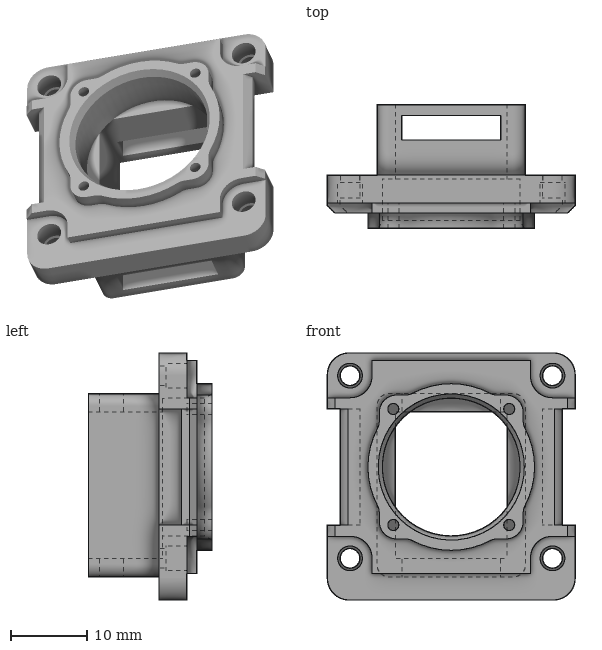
import cadquery as cq
import math


plate_width = 32.6
plate_top = 15.0
plate_bottom = -17.5
plate_height = plate_top - plate_bottom
plate_mid_z = (plate_top + plate_bottom) / 2
plate_thickness = 3.7
plate_corner_radius = 2.9

screw_x = 13.3
screw_z = 12.0
screw_wide_diameter = 3.25
screw_narrow_diameter = 2.55
screw_narrow_length = 0.95

pad_height = 1.3
pad_half_height = 14.0
pad_clearance_radius = 2.9
pad_edge_chamfer = 1.0

notch_height = 15.3
lip_half_width = 14.6
lip_thickness = 2.0
undercut_half_width = 12.0

ring_height = 2.0
ring_radius = 10.95
ear_half_width = 9.45
ear_corner_radius = 2.25
ear_blend_radius = 2.0
ear_hole_offset = 7.62
ear_hole_diameter = 1.45
ear_hole_depth = ring_height + pad_height

bore_radius = 9.05
bore_mouth_radius = 9.6
bore_mouth_depth = 1.0
bore_length = 6.5

housing_width = 19.5
housing_height = 24.1
housing_mid_z = -2.4
housing_length = 9.25
housing_wall = 2.4
housing_corner_radius = 1.6

slot_width = 13.0
slot_length = 3.2
slot_back_margin = 1.43

pad_front = -pad_height
ring_front = pad_front - ring_height
plate_back = plate_thickness
housing_back = plate_back + housing_length
bore_end = ring_front + bore_length
screw_step = plate_back - screw_narrow_length

SIDES = (-1, 1)


def corner_points(x, z):
    return [(side_x * x, side_z * z) for side_x in SIDES for side_z in SIDES]


def sketch_at(y):
    """XZ sketch plane at a given Y whose extrusions run towards +Y."""
    return cq.Workplane(cq.Plane(origin=(0, y, 0), xDir=(1, 0, 0), normal=(0, -1, 0)))


def block(x_min, x_max, y_min, y_max, z_min, z_max):
    size = (x_max - x_min, y_max - y_min, z_max - z_min)
    return cq.Workplane("XY").box(*size, centered=False).translate((x_min, y_min, z_min))


def prism(y_min, y_max, width, height, mid_z=0.0, corner_radius=0.0):
    """Rectangular bar along Y, with its long edges rounded if a radius is given."""
    bar = block(-width / 2, width / 2, y_min, y_max, mid_z - height / 2, mid_z + height / 2)
    if corner_radius > 0:
        bar = bar.edges("|Y").fillet(corner_radius)
    return bar


def holes(points, diameter, y_min, y_max):
    return sketch_at(y_min).pushPoints(points).circle(diameter / 2).extrude(y_min - y_max)


def make_plate():
    return prism(0, plate_back, plate_width, plate_height, plate_mid_z, plate_corner_radius)


def make_pad():
    pad = prism(pad_front, 0, plate_width, 2 * pad_half_height)
    pad = pad.faces("<Y").edges("|Z").chamfer(pad_edge_chamfer)
    clearance_size = plate_width / 2
    inner_x = screw_x - pad_clearance_radius
    inner_z = screw_z - pad_clearance_radius
    clearance = prism(pad_front, 0, clearance_size, clearance_size, 0, pad_clearance_radius)
    for side_x, side_z in corner_points(1, 1):
        shift_x = side_x * (inner_x + clearance_size / 2)
        shift_z = side_z * (inner_z + clearance_size / 2)
        pad = pad.cut(clearance.translate((shift_x, 0, shift_z)))
    return pad


def make_ring():
    blend_distance = ring_radius + ear_blend_radius
    blend_z = ear_half_width + ear_blend_radius
    blend_x = math.sqrt(blend_distance**2 - blend_z**2)
    touch_x = blend_x * ring_radius / blend_distance
    touch_z = blend_z * ring_radius / blend_distance
    flange = sketch_at(ring_front).circle(ring_radius).extrude(-ring_height)
    ears = prism(ring_front, pad_front, 2 * ear_half_width, 2 * ear_half_width, 0, ear_corner_radius)
    ring = flange.union(ears)
    outline = [
        (blend_x, ear_half_width),
        (touch_x, ear_half_width),
        (touch_x, touch_z),
        (blend_x, touch_z),
    ]
    web = sketch_at(ring_front).polyline(outline).close().extrude(-ring_height)
    web = web.cut(holes([(blend_x, blend_z)], 2 * ear_blend_radius, ring_front, pad_front))
    for quarter in range(4):
        turned = web.rotate((0, 0, 0), (0, 1, 0), 90 * quarter)
        ring = ring.union(turned).union(turned.mirror("YZ"))
    return ring


def make_housing():
    return prism(
        plate_back, housing_back,
        housing_width, housing_height, housing_mid_z, housing_corner_radius,
    )


def make_cavity():
    inner_width = housing_width - 2 * housing_wall
    inner_height = housing_height - 2 * housing_wall
    return prism(bore_end, housing_back, inner_width, inner_height, housing_mid_z)


def make_slot():
    slot_back = housing_back - slot_back_margin
    return block(
        -slot_width / 2, slot_width / 2,
        slot_back - slot_length, slot_back,
        housing_mid_z - housing_height / 2, housing_mid_z + housing_height / 2,
    )


def make_bore():
    profile = [
        (0, ring_front),
        (bore_mouth_radius, ring_front),
        (bore_radius, ring_front + bore_mouth_depth),
        (bore_radius, bore_end),
        (0, bore_end),
    ]
    return cq.Workplane("XY").polyline(profile).close().revolve(360, (0, 0), (0, 1))


def make_side_notch():
    """Notch on the +X side, seen in plan and extruded along Z."""
    outside = plate_width / 2
    lip_back = pad_front + lip_thickness
    profile = [
        (outside, pad_front),
        (lip_half_width - pad_edge_chamfer, pad_front),
        (lip_half_width, pad_front + pad_edge_chamfer),
        (lip_half_width, lip_back),
        (undercut_half_width, lip_back),
        (undercut_half_width, plate_back),
        (outside, plate_back),
    ]
    return cq.Workplane("XY").polyline(profile).close().extrude(notch_height / 2, both=True)


screw_points = corner_points(screw_x, screw_z)
ear_points = corner_points(ear_hole_offset, ear_hole_offset)
notch = make_side_notch()

body = make_plate().union(make_pad()).union(make_ring()).union(make_housing())
body = body.cut(make_bore()).cut(make_cavity()).cut(make_slot())
body = body.cut(notch).cut(notch.mirror("YZ"))
body = body.cut(holes(screw_points, screw_wide_diameter, 0, screw_step))
body = body.cut(holes(screw_points, screw_narrow_diameter, screw_step, plate_back))
result = body.cut(holes(ear_points, ear_hole_diameter, ring_front, ring_front + ear_hole_depth))